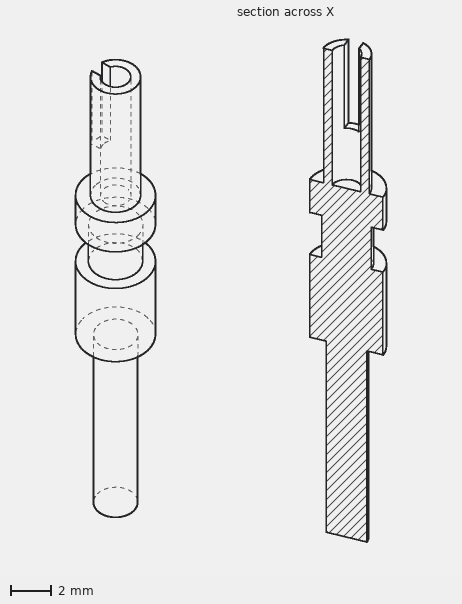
import cadquery as cq

total_length = 29.1
pin_diameter = 2.2
pin_length = 11.5
body_diameter = 4.0
body_length = 5.0
neck_diameter = 2.7
neck_length = 2.5
collar_diameter = body_diameter
collar_length = 2.0
barrel_diameter = 2.5
barrel_length = total_length - pin_length - body_length - neck_length - collar_length

bore_diameter = 1.5
bore_depth = barrel_length
slot_width = 0.8
slot_depth = 5.0

sections = [
    (pin_diameter, pin_length),
    (body_diameter, body_length),
    (neck_diameter, neck_length),
    (collar_diameter, collar_length),
    (barrel_diameter, barrel_length),
]


def stack_sections(sections):
    """Stack cylinders of (diameter, length) along +Z, starting at Z = 0."""
    solid = cq.Workplane("XY")
    base = 0
    for diameter, length in sections:
        cylinder = cq.Workplane("XY").workplane(offset=base).circle(diameter / 2).extrude(length)
        solid = solid.union(cylinder)
        base += length
    return solid


top_plane = cq.Workplane("XY").workplane(offset=total_length)
bore = top_plane.circle(bore_diameter / 2).extrude(-bore_depth)

slot_reach = barrel_diameter
slot = (
    top_plane.center(-slot_reach / 2, 0)
    .rect(slot_reach, slot_width)
    .extrude(-slot_depth)
)

result = stack_sections(sections).cut(bore).cut(slot)